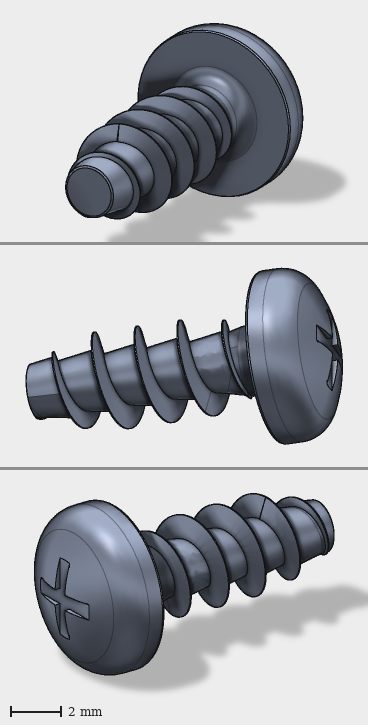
import cadquery as cq
import math

length = 12.65

head_diameter = 7.0
head_radius = head_diameter / 2
head_height = 2.65
seat_chamfer_radial = 0.04
seat_chamfer_axial = 0.09
rim_height = 0.73
crown_radius = 2.75
crown_height = 1.95
crown_arc_radius = 1.35
slot_width = 0.67
slot_depth = 0.24

tip_y = head_height - length
fillet_radius = 0.6
shank_radius = 1.42
shank_end_y = -0.99
neck_slope = 0.24
core_radius = 1.09
tip_radius = 1.1
tip_chamfer_radial = 0.09
tip_chamfer_axial = 0.04

pitch = 1.8
flank_angle = 15.0
crest_radius = 2.01
crest_width = 0.05
crest_y = -3.26
root_radius = 1.34
root_slope = 0.16
run_in_radius = 1.57
run_in_end_y = -2.82
run_out_start_y = -7.32
overlap = 0.06
overrun = 0.25


def revolve(profile):
    return profile.close().revolve(360, (0, 0, 0), (0, 1, 0))


def head():
    rise = head_height - crown_height
    corner = slot_width / math.sqrt(2)
    center_drop = (crown_radius**2 - corner**2 - rise**2) / (2 * rise)
    dome_radius = math.hypot(crown_radius, center_drop)
    apex_y = crown_height - center_drop + dome_radius
    body = revolve(
        cq.Workplane("XY")
        .moveTo(0, 0)
        .lineTo(head_radius - seat_chamfer_radial, 0)
        .lineTo(head_radius, seat_chamfer_axial)
        .lineTo(head_radius, rim_height)
        .radiusArc((crown_radius, crown_height), -crown_arc_radius)
        .radiusArc((0, apex_y), -dome_radius)
    )
    slot_height = apex_y - head_height + slot_depth
    slot_center_y = apex_y - slot_height / 2
    for size_x, size_z in ((head_diameter, slot_width), (slot_width, head_diameter)):
        slot = cq.Workplane("XY").box(size_x, slot_height, size_z)
        body = body.cut(slot.translate((0, slot_center_y, 0)))
    return body


def shank():
    """Shank with its fillet under the head and the conical neck below it."""
    neck_end_radius = core_radius - overlap
    neck_end_y = shank_end_y - (shank_radius - neck_end_radius) / neck_slope
    return revolve(
        cq.Workplane("XY")
        .moveTo(0, 0)
        .lineTo(shank_radius + fillet_radius, 0)
        .radiusArc((shank_radius, -fillet_radius), -fillet_radius)
        .lineTo(shank_radius, shank_end_y)
        .lineTo(neck_end_radius, neck_end_y)
        .lineTo(0, neck_end_y)
    )


def helical_sweep(section, start_y, end_y, start_radius, end_radius):
    """Sweep a closed (radial, axial) section, given relative to the helix, from start_y up to end_y."""
    rise = end_y - start_y
    cone_angle = math.degrees(math.atan((end_radius - start_radius) / rise))
    stretch = 1 / math.cos(math.radians(cone_angle))
    helix = cq.Wire.makeHelix(pitch * stretch, rise * stretch, start_radius, angle=cone_angle or 360)
    points = [(start_radius + radial, axial) for radial, axial in section]
    swept = cq.Workplane("XZ").polyline(points).close().sweep(cq.Workplane(helix), isFrenet=True)
    phase = 360 * (start_y - crest_y) / pitch
    upright = swept.rotate((0, 0, 0), (0, 0, 1), phase)
    return upright.rotate((0, 0, 0), (1, 0, 0), -90).translate((0, start_y, 0))


def core():
    """Core that narrows from each turn of the thread to the next, turned down to a cone at the tip."""
    surplus = pitch
    cylinder = cq.Workplane("XZ", origin=(0, surplus, 0)).circle(core_radius).extrude(length + surplus)
    root_height = root_radius - core_radius
    sunk = 0.03
    wedge_end = -(root_height + sunk) / root_slope
    section = [(-overlap, 0), (root_height, 0), (-sunk, wedge_end), (-overlap, wedge_end)]
    wedge = helical_sweep(section, tip_y - surplus, shank_end_y + surplus, core_radius, core_radius)
    envelope = revolve(
        cq.Workplane("XY")
        .moveTo(0, shank_end_y)
        .lineTo(shank_radius, shank_end_y)
        .lineTo(shank_radius, tip_y + tip_chamfer_axial + (shank_radius - tip_radius) / root_slope)
        .lineTo(tip_radius, tip_y + tip_chamfer_axial)
        .lineTo(tip_radius - tip_chamfer_radial, tip_y)
        .lineTo(0, tip_y)
    )
    return cylinder.union(wedge).intersect(envelope)


def thread_ridges():
    """Run-out at the tip, full thread and run-in at the shank, each a ridge on its own helix."""
    run_out_slope = (crest_radius - tip_radius) / (run_out_start_y - tip_y)
    run_in_slope = (crest_radius - run_in_radius) / (shank_end_y - run_in_end_y)
    stations = [
        (tip_y - overrun, tip_radius - overrun * run_out_slope),
        (run_out_start_y, crest_radius),
        (run_in_end_y, crest_radius),
        (shank_end_y + overrun, run_in_radius - overrun * run_in_slope),
    ]
    half_crest = crest_width / 2
    depth = crest_radius - core_radius + overlap
    half_base = half_crest + depth * math.tan(math.radians(flank_angle))
    section = [(-depth, -half_base), (0, -half_crest), (0, half_crest), (-depth, half_base)]
    threaded_length = shank_end_y - tip_y - tip_chamfer_axial
    trim = cq.Workplane("XZ", origin=(0, shank_end_y, 0)).circle(head_radius).extrude(threaded_length)
    return [
        helical_sweep(section, start_y, end_y, start_radius, end_radius).intersect(trim)
        for (start_y, start_radius), (end_y, end_radius) in zip(stations, stations[1:])
    ]


screw = shank().union(core())
for ridge in thread_ridges():
    screw = screw.union(ridge)
screw = screw.union(head())

result = screw.solids()